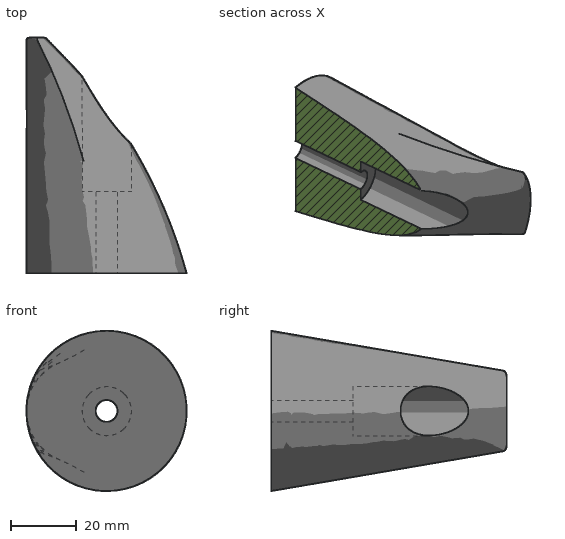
import cadquery as cq
import math

BASE_RADIUS = 24.5
LENGTH = 72.0
TIP_BOWED_SIDE_X = -18.7
TIP_HALF_HEIGHT = 12.15
BOWED_SIDE_RADIUS = 156.0
TIP_FILLET = 1.0
BOLT_HOLE_DIAMETER = 6.6
COUNTERBORE_DIAMETER = 15.0
COUNTERBORE_FLOOR_Y = 25.0
SECTION_COUNT = 9

STRAIGHT_SIDE_X = -BASE_RADIUS


def bowed_side_x(y):
    """X of the bowed side: an arc from the base rim to the tip."""
    chord_run = TIP_BOWED_SIDE_X - BASE_RADIUS
    chord = math.hypot(chord_run, LENGTH)
    centre_offset = math.sqrt(BOWED_SIDE_RADIUS**2 - (chord / 2)**2)
    centre_x = (BASE_RADIUS + TIP_BOWED_SIDE_X) / 2 - centre_offset * LENGTH / chord
    centre_y = LENGTH / 2 + centre_offset * chord_run / chord
    return centre_x + math.sqrt(BOWED_SIDE_RADIUS**2 - (y - centre_y)**2)


def half_height(y):
    """Half height along Z, tapering evenly from the base to the tip."""
    return BASE_RADIUS + (TIP_HALF_HEIGHT - BASE_RADIUS) * y / LENGTH


def section(y):
    """Two equal arcs meeting at the top and bottom corners: a circle at the base, a lens at the tip."""
    bowed_x = bowed_side_x(y)
    corner_x = (STRAIGHT_SIDE_X + bowed_x) / 2
    top = cq.Vector(corner_x, y, half_height(y))
    bottom = cq.Vector(corner_x, y, -half_height(y))
    straight_side_arc = cq.Edge.makeThreePointArc(top, cq.Vector(STRAIGHT_SIDE_X, y, 0), bottom)
    bowed_side_arc = cq.Edge.makeThreePointArc(bottom, cq.Vector(bowed_x, y, 0), top)
    return cq.Wire.assembleEdges([straight_side_arc, bowed_side_arc])


def foot_body():
    """Smooth loft from the round base to the lens-shaped tip, with the tip edge rounded."""
    stations = [LENGTH * i / (SECTION_COUNT - 1) for i in range(SECTION_COUNT)]
    body = cq.Workplane(cq.Solid.makeLoft([section(y) for y in stations]))
    return body.faces(">Y").edges().fillet(TIP_FILLET)


def bore(diameter, start_y):
    """Cylinder on the base axis, running from start_y out past the sloping bowed side."""
    return cq.Workplane("XZ", origin=(0, start_y, 0)).circle(diameter / 2).extrude(-LENGTH)


result = (
    foot_body()
    .cut(bore(BOLT_HOLE_DIAMETER, 0))
    .cut(bore(COUNTERBORE_DIAMETER, COUNTERBORE_FLOOR_Y))
)